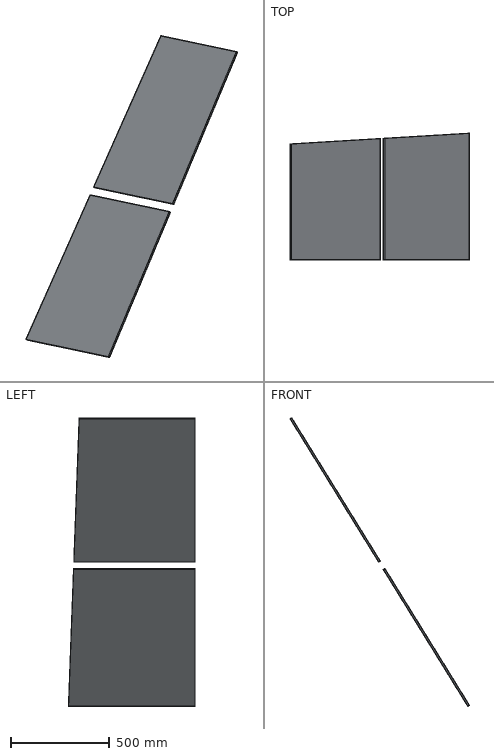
import cadquery as cq
import math

overall_height = 1468.0
tilt = 31.73
thickness = 10.0
top_width = 590.0
bottom_width = 645.0
upper_length = 857.0
panel_gap = 44.0

tilt_sine = math.sin(math.radians(tilt))
tilt_cosine = math.cos(math.radians(tilt))
slope_length = (overall_height - thickness * tilt_sine) / tilt_cosine
lower_start = upper_length + panel_gap

panel_plane = cq.Plane(
    origin=(0, 0, overall_height - thickness * tilt_sine),
    xDir=(tilt_sine, 0, -tilt_cosine),
    normal=(tilt_cosine, 0, tilt_sine),
)


def width_at(distance):
    """Panel width at a distance down the slope; one straight taper spans both panels."""
    return top_width + (bottom_width - top_width) * distance / slope_length


def make_panel(start, end):
    """Flat panel between two distances down the slope, tapered on its +Y edge."""
    outline = [
        (start, 0),
        (end, 0),
        (end, width_at(end)),
        (start, width_at(start)),
    ]
    return cq.Workplane(panel_plane).polyline(outline).close().extrude(thickness)


upper_panel = make_panel(0, upper_length)
lower_panel = make_panel(lower_start, slope_length)

result = cq.Compound.makeCompound([upper_panel.val(), lower_panel.val()])